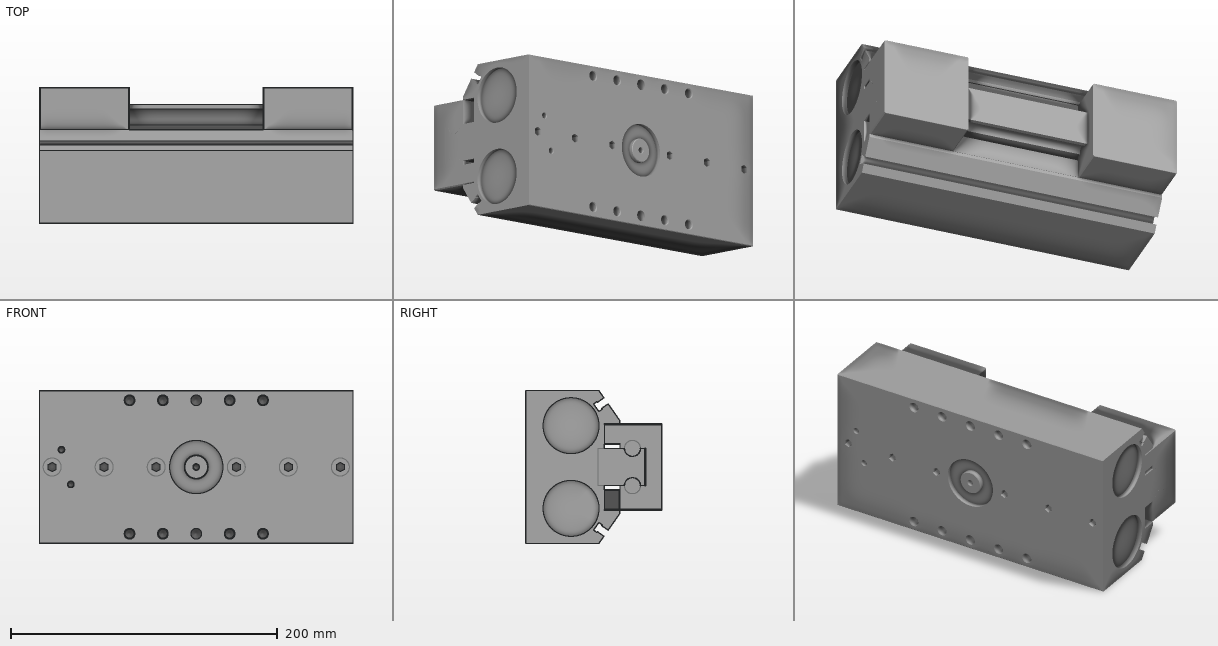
import cadquery as cq
import math


LENGTH = 235.0
HEIGHT = 115.0
BACK_Y = 70.5
SHOULDER_Y = 54.75
BEVEL_ANGLE = 35.0
EDGE_CHAMFER = 0.5

SLOT_MOUTH = 5.4
SLOT_MOUTH_DEPTH = 6.0
SLOT_FOOT = 6.8
SLOT_DEPTH = 9.0
SLOT_FROM_SHOULDER = 9.6

END_BORE_DIA = 42.0
END_BORE_DEPTH = 4.0
END_BORE_Y = 34.0
END_BORE_Z = 31.0

RAIL_WIDTH = 28.0
RAIL_FRONT_Y = 54.0
RAIL_BACK_Y = 89.4
ROD_DIA = 12.0
GROOVE_DIA = 12.1
ROD_Y = 80.0

JAW_LENGTH = 67.5
JAW_HEIGHT = 65.0
JAW_BACK_Y = 102.0
RAIL_CLEARANCE = 0.5
JAW_END_CHAMFER = 0.9
JAW_BACK_CHAMFER = 0.2
CHANNEL_FRONT_Y = 59.0
RACK_INNER_Z = 17.0
RACK_OUTER_Z = 32.0
RACK_CLEARANCE = 0.5

MOUNT_PITCH_X = 25.0
MOUNT_Z = 50.0
MOUNT_COUNT = 5
MOUNT_MOUTH_DIA = 8.0
MOUNT_DRILL_DIA = 6.8
MOUNT_DEPTH = 16.0
DRILL_POINT_ANGLE = 118.0

SMALL_MOUTH_DIA = 5.0
SMALL_DRILL_DIA = 4.2
SMALL_DEPTH = 10.0
SMALL_HOLES = [(-101.0, 13.0), (-94.0, -13.0)]

SCREW_FIRST_X = 30.0
SCREW_PITCH = 39.0
SCREWS_PER_SIDE = 3
SCREW_HEAD_DIA = 13.5
SCREW_HEAD_HEIGHT = 12.0
SOCKET_ACROSS_FLATS = 6.0
SOCKET_DEPTH = 7.5
SOCKET_TURN = 30.0

RECESS_DIA = 40.0
RECESS_DEPTH = 4.0
HUB_DIA = 18.0
HUB_CHAMFER = 0.5


def box(x0, x1, y0, y1, z0, z1):
    """Block between the given limits."""
    return cq.Workplane("XY").box(x1 - x0, y1 - y0, z1 - z0, centered=False).translate((x0, y0, z0))


def cylinder_x(x0, x1, y, z, diameter):
    """Cylinder running along X."""
    return cq.Workplane("YZ", origin=(x0, y, z)).circle(diameter / 2).extrude(x1 - x0)


def cylinder_y(y0, y1, x, z, diameter):
    """Cylinder running along Y."""
    return cq.Workplane("XZ", origin=(x, y0, z)).circle(diameter / 2).extrude(y0 - y1)


def drilled_hole(x, z, diameter, depth):
    """Cutter for a front face hole with a drill point at its end."""
    bore = diameter / 2
    tip = bore / math.tan(math.radians(DRILL_POINT_ANGLE / 2))
    half = [(0, 0), (bore, 0), (bore, depth), (0, depth + tip)]
    return cq.Workplane("XY").polyline(half).close().revolve(360, (0, 0), (0, 1)).translate((x, 0, z))


def countersunk_hole(x, z, mouth_dia, drill_dia, depth):
    """Cutter for a drilled hole with a 45 degree countersink at the front face."""
    mouth = mouth_dia / 2
    sink = cq.Workplane("XY").polyline([(0, 0), (mouth, 0), (0, mouth)]).close()
    sink = sink.revolve(360, (0, 0), (0, 1)).translate((x, 0, z))
    return drilled_hole(x, z, drill_dia, depth).union(sink)


def housing_block():
    half = HEIGHT / 2
    bevel_drop = (BACK_Y - SHOULDER_Y) / math.tan(math.radians(BEVEL_ANGLE))
    outline = [
        (0, -half),
        (SHOULDER_Y, -half),
        (BACK_Y, bevel_drop - half),
        (BACK_Y, half - bevel_drop),
        (SHOULDER_Y, half),
        (0, half),
    ]
    block = cq.Workplane("YZ").polyline(outline).close().extrude(LENGTH / 2, both=True)
    return block.faces("<Y").edges("|X").chamfer(EDGE_CHAMFER)


def t_slot():
    """Cutter for the T-slot in the upper bevel, running the full length."""
    angle = math.radians(BEVEL_ANGLE)
    mouth_y = SHOULDER_Y + SLOT_FROM_SHOULDER * math.sin(angle)
    mouth_z = HEIGHT / 2 - SLOT_FROM_SHOULDER * math.cos(angle)
    foot_height = SLOT_DEPTH - SLOT_MOUTH_DEPTH
    foot_middle = SLOT_MOUTH_DEPTH + foot_height / 2
    neck = box(-LENGTH / 2, LENGTH / 2, -SLOT_DEPTH, SLOT_DEPTH, -SLOT_MOUTH / 2, SLOT_MOUTH / 2)
    foot = cq.Workplane("XY").box(LENGTH, foot_height, SLOT_FOOT).translate((0, -foot_middle, 0))
    cutter = neck.union(foot).rotate((0, 0, 0), (1, 0, 0), BEVEL_ANGLE)
    return cutter.translate((0, mouth_y, mouth_z))


def guide_rail():
    half = RAIL_WIDTH / 2
    rail = box(-LENGTH / 2, LENGTH / 2, RAIL_FRONT_Y, RAIL_BACK_Y, -half, half)
    for z in (-half, half):
        rail = rail.cut(cylinder_x(-LENGTH / 2, LENGTH / 2, ROD_Y, z, GROOVE_DIA))
    return rail


def screw(x):
    """Flush screw head, and the cutter for its hexagon socket with corners up and down."""
    head = cylinder_y(0, SCREW_HEAD_HEIGHT, x, 0, SCREW_HEAD_DIA)
    across_corners = SOCKET_ACROSS_FLATS / math.cos(math.pi / 6)
    socket = cq.Workplane("XZ", origin=(x, 0, 0)).polygon(6, across_corners).extrude(-SOCKET_DEPTH)
    socket = socket.rotate((x, 0, 0), (x, 1, 0), SOCKET_TURN)
    return head, socket


def make_housing():
    housing = housing_block()

    slot = t_slot()
    housing = housing.cut(slot).cut(slot.mirror("XY"))

    for side in (-1, 1):
        z0, z1 = sorted((side * RAIL_WIDTH / 2, side * JAW_HEIGHT / 2))
        housing = housing.cut(box(-LENGTH / 2, LENGTH / 2, CHANNEL_FRONT_Y, BACK_Y, z0, z1))

    for z in (-END_BORE_Z, END_BORE_Z):
        for x0 in (-LENGTH / 2, LENGTH / 2 - END_BORE_DEPTH):
            housing = housing.cut(cylinder_x(x0, x0 + END_BORE_DEPTH, END_BORE_Y, z, END_BORE_DIA))

    for index in range(MOUNT_COUNT):
        step = index - MOUNT_COUNT // 2
        x = step * MOUNT_PITCH_X
        for z in (-MOUNT_Z, MOUNT_Z):
            if step == 0:
                hole = drilled_hole(x, z, MOUNT_MOUTH_DIA, MOUNT_DEPTH)
            else:
                hole = countersunk_hole(x, z, MOUNT_MOUTH_DIA, MOUNT_DRILL_DIA, MOUNT_DEPTH)
            housing = housing.cut(hole)

    for x, z in SMALL_HOLES:
        housing = housing.cut(countersunk_hole(x, z, SMALL_MOUTH_DIA, SMALL_DRILL_DIA, SMALL_DEPTH))

    hub = cylinder_y(0, RECESS_DEPTH, 0, 0, HUB_DIA).faces("<Y").chamfer(HUB_CHAMFER)
    housing = housing.cut(cylinder_y(0, RECESS_DEPTH, 0, 0, RECESS_DIA).cut(hub))
    housing = housing.cut(countersunk_hole(0, 0, SMALL_MOUTH_DIA, SMALL_DRILL_DIA, SMALL_DEPTH))

    for index in range(SCREWS_PER_SIDE):
        for side in (-1, 1):
            head, socket = screw(side * (SCREW_FIRST_X + index * SCREW_PITCH))
            housing = housing.cut(head, clean=False).union(head.cut(socket), clean=False)
    rail = guide_rail()
    return housing.cut(rail, clean=False).union(rail, clean=False)


def make_left_jaw():
    outer_x = -LENGTH / 2
    inner_x = outer_x + JAW_LENGTH
    half = JAW_HEIGHT / 2
    rail_half = RAIL_WIDTH / 2
    jaw = box(outer_x, inner_x, BACK_Y, JAW_BACK_Y, -half, half)
    jaw = jaw.edges("|Y").chamfer(JAW_END_CHAMFER)
    jaw = jaw.faces(">Y").edges("<Z or >Z").chamfer(JAW_BACK_CHAMFER)

    jaw = jaw.cut(box(outer_x, inner_x, BACK_Y, RAIL_BACK_Y + RAIL_CLEARANCE, -rail_half, rail_half))

    rack = box(outer_x, -inner_x, CHANNEL_FRONT_Y, BACK_Y, -RACK_OUTER_Z, -RACK_INNER_Z)
    rack = rack.edges("|Y").chamfer(EDGE_CHAMFER)
    relief = box(inner_x, -inner_x, BACK_Y - RACK_CLEARANCE, BACK_Y, -half, 0)
    jaw = jaw.union(rack.cut(relief))

    for z in (-rail_half, rail_half):
        rod = cylinder_x(outer_x, inner_x, ROD_Y, z, ROD_DIA)
        jaw = jaw.cut(rod, clean=False).union(rod, clean=False)
    return jaw


housing = make_housing()
left_jaw = make_left_jaw()
right_jaw = left_jaw.rotate((0, 0, 0), (0, 1, 0), 180)

result = cq.Compound.makeCompound([housing.val(), left_jaw.val(), right_jaw.val()])